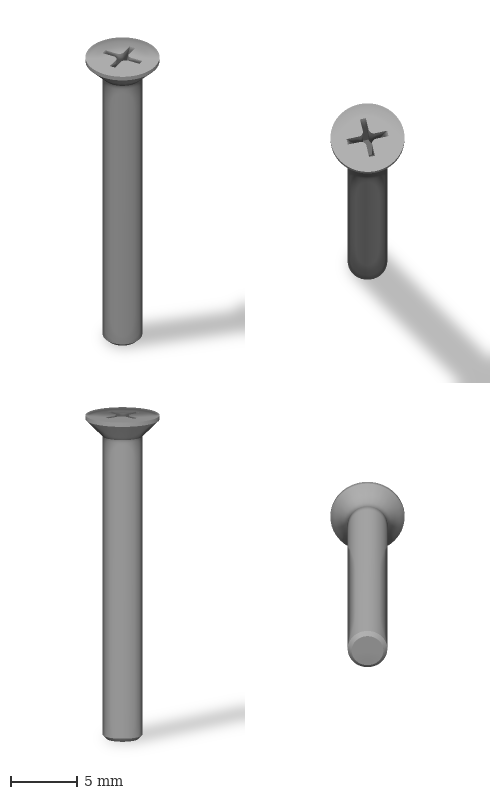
import cadquery as cq

length = 25.0
head_radius = 5.6 / 2
shank_radius = 3.0 / 2
rim_height = 0.32
tip_chamfer = 0.3

cone_height = head_radius - shank_radius
head_height = rim_height + cone_height

recess_span = 3.15
recess_width = 0.45
recess_depth = 2.0
floor_half_span = 0.62
corner_radius = floor_half_span - recess_width / 2


def screw_body():
    """Revolve the half profile of head, shank and chamfered tip."""
    return (
        cq.Workplane("XZ")
        .moveTo(0, 0)
        .lineTo(shank_radius - tip_chamfer, 0)
        .lineTo(shank_radius, tip_chamfer)
        .lineTo(shank_radius, length - head_height)
        .lineTo(head_radius, length - rim_height)
        .lineTo(head_radius, length)
        .lineTo(0, length)
        .close()
        .revolve(360, (0, 0, 0), (0, 1, 0))
    )


def recess_blade():
    """One blade of the cross, with ends sloping in towards the recess floor."""
    floor_z = length - recess_depth
    return (
        cq.Workplane("XZ")
        .polyline([
            (-recess_span / 2, length),
            (-floor_half_span, floor_z),
            (floor_half_span, floor_z),
            (recess_span / 2, length),
        ])
        .close()
        .extrude(recess_width / 2, both=True)
    )


def recess_core():
    """Square core whose corners are rounded where neighbouring blades meet."""
    top = cq.Workplane("XY").workplane(offset=length)
    core_side = 2 * floor_half_span
    core = top.rect(core_side, core_side).extrude(-recess_depth)
    corners = (
        top.rect(core_side, core_side, forConstruction=True)
        .vertices()
        .circle(corner_radius)
        .extrude(-recess_depth)
    )
    return core.cut(corners)


blade = recess_blade()
crossing_blade = blade.rotate((0, 0, 0), (0, 0, 1), 90)
result = screw_body().cut(blade).cut(crossing_blade).cut(recess_core())